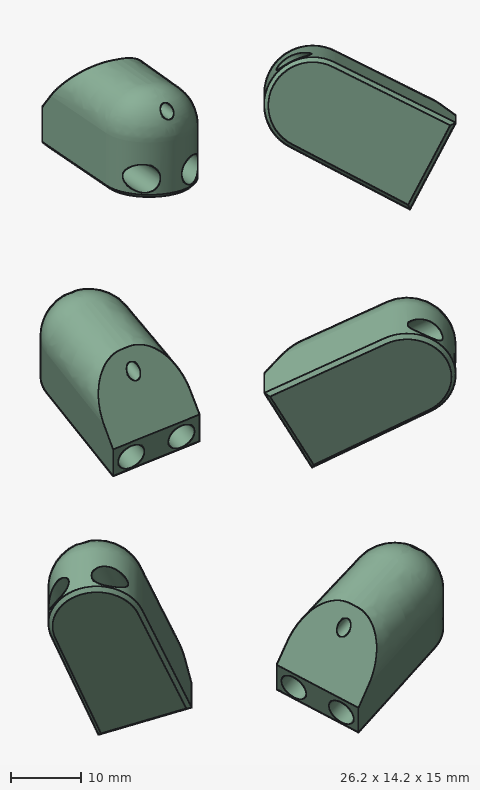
import cadquery as cq
import math

length = 26.2
rear_width = 14.2
height = 15.0

nose_radius = 6.92
nose_center_x = length - nose_radius
rear_half_width = rear_width / 2
top_round_radius = 6.45
base_chamfer = 0.6

slope_run = 9.05
slope_start_z = height - slope_run

pin_hole_diameter = 2.0
pin_hole_z = 12.52
side_bore_diameter = 4.3
side_bore_z = 3.05
side_bore_rear_y = 4.11
bore_overrun = 2.62
side_taper_angle = math.degrees(math.atan((rear_half_width - nose_radius) / nose_center_x))


def half_outline(plane, half_width):
    """Open outline from the base center, up one side, to the top center."""
    flat_half_width = half_width - top_round_radius
    spring_z = height - top_round_radius
    arc_offset = top_round_radius * math.sqrt(0.5)
    arc_middle = (flat_half_width + arc_offset, spring_z + arc_offset)
    return (
        cq.Workplane(plane)
        .moveTo(0, 0)
        .lineTo(half_width - base_chamfer, 0)
        .lineTo(half_width, base_chamfer)
        .lineTo(half_width, spring_z)
        .threePointArc(arc_middle, (flat_half_width, height))
        .lineTo(0, height)
    )


def half_section(x, half_width):
    """Closed half section of the body at the given X."""
    return half_outline(cq.Plane.YZ(origin=(x, 0, 0)), half_width).close().wire().val()


def make_body():
    """Tapered body with a domed front, as one half mirrored about the XZ plane."""
    sections = [half_section(0, rear_half_width), half_section(nose_center_x, nose_radius)]
    half_body = cq.Workplane(cq.Solid.makeLoft(sections, True))
    body = half_body.union(half_body.mirror("XZ"))
    nose_plane = cq.Plane.XZ(origin=(nose_center_x, 0, 0))
    nose = half_outline(nose_plane, nose_radius).close().revolve(360, (0, 0), (0, 1))
    return body.union(nose)


def make_rear_cut():
    """Material above the rear slope and below the rear base chamfer."""
    slope = (
        cq.Workplane("XZ")
        .polyline([(0, slope_start_z), (slope_run, height), (0, height)])
        .close()
        .extrude(rear_half_width, both=True)
    )
    chamfer = (
        cq.Workplane("XZ")
        .polyline([(0, 0), (base_chamfer, 0), (0, base_chamfer)])
        .close()
        .extrude(rear_half_width, both=True)
    )
    return slope.union(chamfer)


def make_bore(y, z, diameter, angle=0):
    """Lengthwise cylinder, turned about Z at the point where it meets the rear plane."""
    return (
        cq.Workplane("YZ", origin=(-bore_overrun, y, z))
        .circle(diameter / 2)
        .extrude(length + 2 * bore_overrun)
        .rotate((0, y, 0), (0, y, 1), angle)
    )


result = make_body().cut(make_rear_cut())
result = result.cut(make_bore(0, pin_hole_z, pin_hole_diameter))

for side in (-1, 1):
    bore = make_bore(side * side_bore_rear_y, side_bore_z, side_bore_diameter, -side * side_taper_angle)
    result = result.cut(bore)